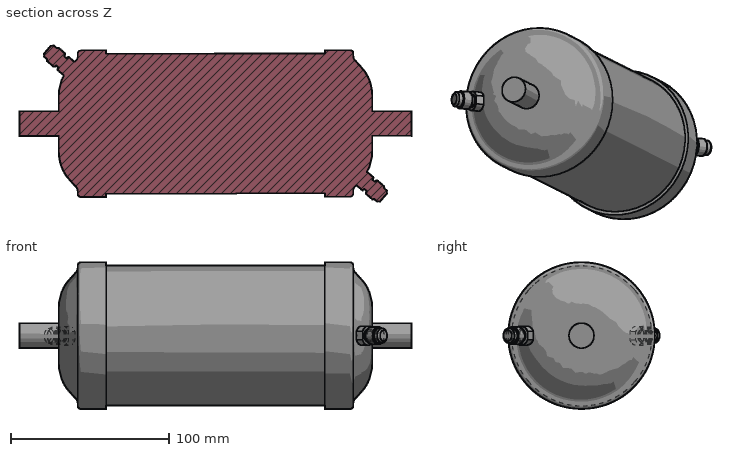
import cadquery as cq
import math

overall_length = 248.0
pipe_radius = 8.0
shell_radius = 44.5
band_radius = 46.5
band_inner_x = 69.2
band_outer_x = 87.3
band_edge_radius = 2.2

dome_face_x = 99.2
dome_flat_radius = 18.0
dome_arc_radius = 25.8
shoulder_radius = 35.5
root_fillet_radius = 3.5

fitting_angle = 41.0
fitting_reach = 43.6
tip_radius = 4.7
tip_chamfer = 1.2
tip_length = 4.0
collar_radius = 5.58
collar_length = 6.7
collar_chamfer = 0.5
neck_radius = 4.0
neck_length = 2.2
nut_radius = 6.08
nut_flat_width = 11.0
nut_root_depth = 5.0

dome_arc_x = dome_face_x - dome_arc_radius


def shoulder_point(angle):
    """Point on the shoulder arc, with the angle measured from the X axis."""
    x = dome_arc_x + dome_arc_radius * math.cos(angle)
    radius = dome_flat_radius + dome_arc_radius * math.sin(angle)
    return (x, radius)


def make_half_vessel():
    """Right-hand half of the vessel: shell, end band, dome and pipe stub."""
    shoulder_angle = math.asin((shoulder_radius - dome_flat_radius) / dome_arc_radius)
    shoulder_end = shoulder_point(shoulder_angle)

    corner_radius = shoulder_radius + (shoulder_end[0] - band_outer_x) / math.tan(shoulder_angle)
    tangent_length = root_fillet_radius * math.tan(shoulder_angle / 2)
    fillet_on_band = (band_outer_x, corner_radius + tangent_length)
    fillet_on_cone = (
        band_outer_x + tangent_length * math.sin(shoulder_angle),
        corner_radius - tangent_length * math.cos(shoulder_angle),
    )

    profile = (
        cq.Workplane("XY")
        .lineTo(0, shell_radius)
        .lineTo(band_inner_x, shell_radius)
        .lineTo(band_inner_x, band_radius)
        .lineTo(band_outer_x - band_edge_radius, band_radius)
        .radiusArc((band_outer_x, band_radius - band_edge_radius), band_edge_radius)
        .lineTo(*fillet_on_band)
        .radiusArc(fillet_on_cone, -root_fillet_radius)
        .lineTo(*shoulder_end)
        .threePointArc(shoulder_point(shoulder_angle / 2), (dome_face_x, dome_flat_radius))
        .lineTo(dome_face_x, pipe_radius)
        .lineTo(overall_length / 2, pipe_radius)
        .lineTo(overall_length / 2, 0)
        .close()
    )
    return profile.revolve(360, (0, 0, 0), (1, 0, 0))


def make_fitting():
    """Flare fitting on the +X, -Y shoulder, built from its tip back into the dome."""
    angle = math.radians(fitting_angle)
    outward = cq.Vector(math.cos(angle), -math.sin(angle), 0)
    origin = cq.Vector(dome_arc_x, -dome_flat_radius, 0)
    base = cq.Workplane(cq.Plane(origin, xDir=(0, 0, 1), normal=outward))

    collar_end = fitting_reach - tip_length
    neck_end = collar_end - collar_length
    nut_end = neck_end - neck_length
    nut_start = dome_arc_radius - nut_root_depth

    nut_length = nut_end - nut_start

    nut_base = base.workplane(offset=nut_start)
    flats = nut_base.rect(2 * nut_radius, nut_flat_width).extrude(nut_length)
    nut = nut_base.circle(nut_radius).extrude(nut_length).intersect(flats)
    neck = base.workplane(offset=nut_end).circle(neck_radius).extrude(neck_length)
    collar = base.workplane(offset=neck_end).circle(collar_radius).extrude(collar_length)
    collar = collar.edges("%CIRCLE").chamfer(collar_chamfer)
    tip = base.workplane(offset=collar_end).circle(tip_radius).extrude(tip_length)
    tip = tip.faces(cq.selectors.DirectionMinMaxSelector(outward, True)).edges().chamfer(tip_chamfer)
    return nut.union(neck).union(collar).union(tip)


half_vessel = make_half_vessel()
fitting = make_fitting()

result = half_vessel.union(fitting)
result = result.union(result.rotate((0, 0, 0), (0, 0, 1), 180))